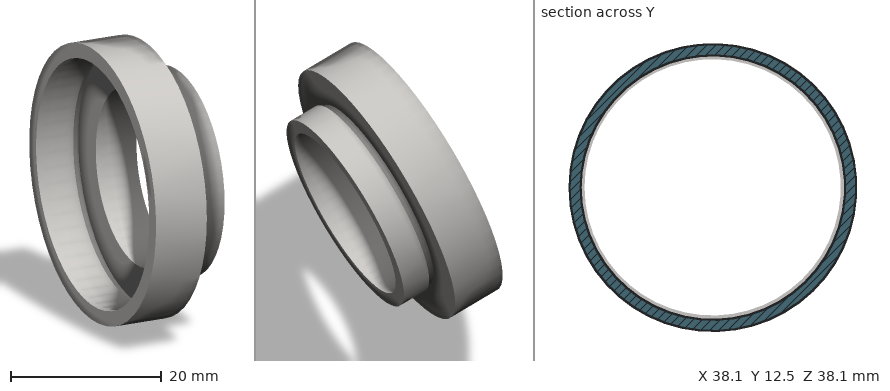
import cadquery as cq

outer_diameter = 38.1
flange_length = 7.5
recess_diameter = 34.0
recess_depth = 5.5
undercut_diameter = 35.0
undercut_width = 1.0
bore_diameter = 24.45

groove_diameter = 27.5
groove_width = 1.0
lip_diameter = 28.5
lip_width = 4.0

total_length = flange_length + groove_width + lip_width
front_y = -total_length / 2


def disc(diameter, start, length):
    """Solid disc along +Y, beginning at a distance behind the front face."""
    plane = cq.Workplane("XZ", origin=(0, front_y + start, 0))
    return plane.circle(diameter / 2).extrude(-length)


flange = disc(outer_diameter, 0, flange_length)
groove = disc(groove_diameter, flange_length, groove_width)
lip = disc(lip_diameter, flange_length + groove_width, lip_width)
body = flange.union(groove).union(lip)

recess = disc(recess_diameter, 0, recess_depth)
undercut = disc(undercut_diameter, recess_depth, undercut_width)
bore = disc(bore_diameter, 0, total_length)
result = body.cut(recess).cut(undercut).cut(bore)